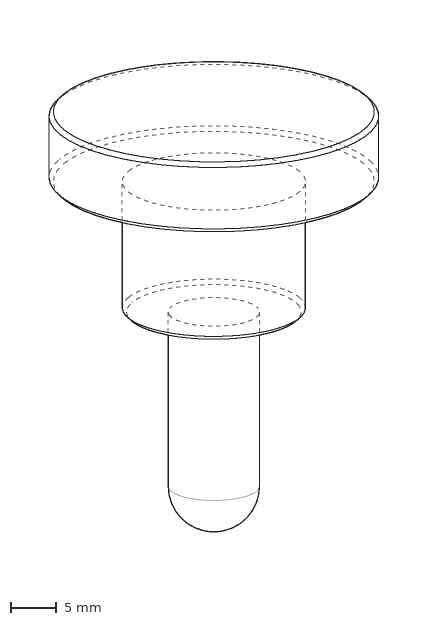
import cadquery as cq

total_height = 48.0
head_diameter = 36.0
head_height = 8.0
collar_diameter = 20.0
collar_height = 15.0
pin_diameter = 10.0
edge_chamfer = 0.5

tip_radius = pin_diameter / 2
head_bottom = total_height - head_height
collar_bottom = head_bottom - collar_height


def disc(diameter, height, bottom):
    """Cylinder on the Z axis, starting at the given level."""
    return cq.Workplane("XY").workplane(offset=bottom).circle(diameter / 2).extrude(height)


head = disc(head_diameter, head_height, head_bottom).edges().chamfer(edge_chamfer)

collar = disc(collar_diameter, collar_height, collar_bottom)
collar = collar.faces("<Z").edges().chamfer(edge_chamfer)

pin = disc(pin_diameter, collar_bottom - tip_radius, tip_radius)
tip = cq.Workplane("XY").sphere(tip_radius).translate((0, 0, tip_radius))

result = head.union(collar).union(pin).union(tip)